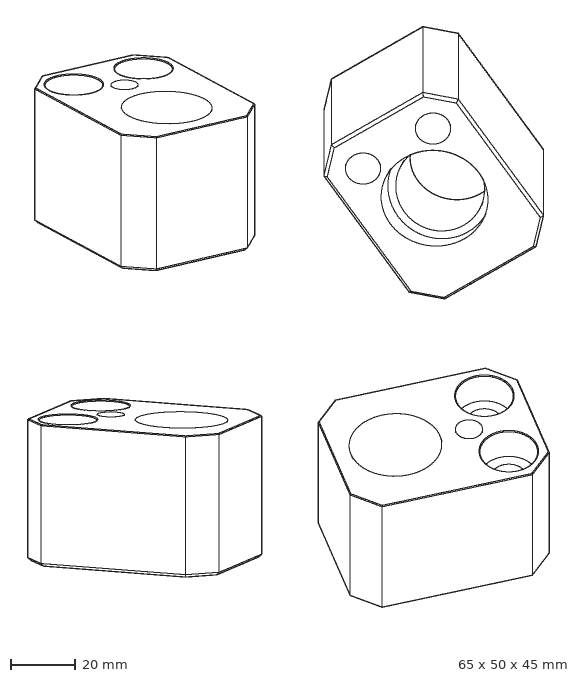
import cadquery as cq
import math

LENGTH = 65.0
WIDTH = 50.0
HEIGHT = 45.0
CORNER_CUT = 8.0
BOTTOM_CHAMFER = 1.0
TOP_CHAMFER = 0.3

SCREW_X = -20.5
SCREW_SPACING = 26.0
SCREW_HOLE_DIAMETER = 11.0
COUNTERBORE_DIAMETER = 18.0
COUNTERBORE_DEPTH = 11.0
COUNTERBORE_CHAMFER = 0.3

BLIND_X = -11.5
BLIND_DIAMETER = 8.5
BLIND_DEPTH = 20.0
DRILL_POINT_ANGLE = 118.0

BORE_TOP_X = 12.5
BORE_DIAMETER = 28.0
BORE_TILT = 15.0
BORE_AXIS_LENGTH = HEIGHT / math.cos(math.radians(BORE_TILT))
SEAT_DIAMETER = 33.0
SEAT_DEPTH = 12.5
SEAT_FLOOR = BORE_AXIS_LENGTH - SEAT_DEPTH
CUTTER_OVERRUN = HEIGHT


def make_block():
    block = cq.Workplane("XY").box(LENGTH, WIDTH, HEIGHT, centered=(True, True, False))
    block = block.edges("|Z").chamfer(CORNER_CUT)
    block = block.faces("<Z").chamfer(BOTTOM_CHAMFER)
    return block.faces(">Z").chamfer(TOP_CHAMFER)


def make_screw_hole_cutter(y):
    """Stepped cutter: through hole, counterbore and a small lead-in chamfer."""
    hole_radius = SCREW_HOLE_DIAMETER / 2
    counterbore_radius = COUNTERBORE_DIAMETER / 2
    floor_z = HEIGHT - COUNTERBORE_DEPTH
    profile = (
        cq.Workplane("XZ")
        .polyline([
            (0, 0),
            (hole_radius, 0),
            (hole_radius, floor_z),
            (counterbore_radius, floor_z),
            (counterbore_radius, HEIGHT - COUNTERBORE_CHAMFER),
            (counterbore_radius + COUNTERBORE_CHAMFER, HEIGHT),
            (0, HEIGHT),
        ])
        .close()
    )
    return profile.revolve(360, (0, 0), (0, 1)).translate((SCREW_X, y, 0))


def make_blind_hole_cutter():
    radius = BLIND_DIAMETER / 2
    shoulder_z = HEIGHT - BLIND_DEPTH
    point_depth = radius / math.tan(math.radians(DRILL_POINT_ANGLE / 2))
    profile = (
        cq.Workplane("XZ")
        .polyline([
            (0, shoulder_z - point_depth),
            (radius, shoulder_z),
            (radius, HEIGHT),
            (0, HEIGHT),
        ])
        .close()
    )
    return profile.revolve(360, (0, 0), (0, 1)).translate((BLIND_X, 0, 0))


def make_inclined_cylinder(diameter, start, end):
    """Cylinder on the bore axis; start and end are measured down the axis from the top face."""
    cylinder = cq.Workplane("XY").workplane(offset=-start).circle(diameter / 2).extrude(start - end)
    return cylinder.rotate((0, 0, 0), (0, 1, 0), BORE_TILT).translate((BORE_TOP_X, 0, HEIGHT))


def make_bore_cutter():
    """Inclined bore with a wider seat entering from the underside, floor square to the axis."""
    bore = make_inclined_cylinder(BORE_DIAMETER, -CUTTER_OVERRUN, SEAT_FLOOR)
    seat = make_inclined_cylinder(SEAT_DIAMETER, SEAT_FLOOR, BORE_AXIS_LENGTH + CUTTER_OVERRUN)
    return bore.union(seat)


result = make_block()
for side in (-1, 1):
    result = result.cut(make_screw_hole_cutter(side * SCREW_SPACING / 2))
result = result.cut(make_blind_hole_cutter())
result = result.cut(make_bore_cutter())